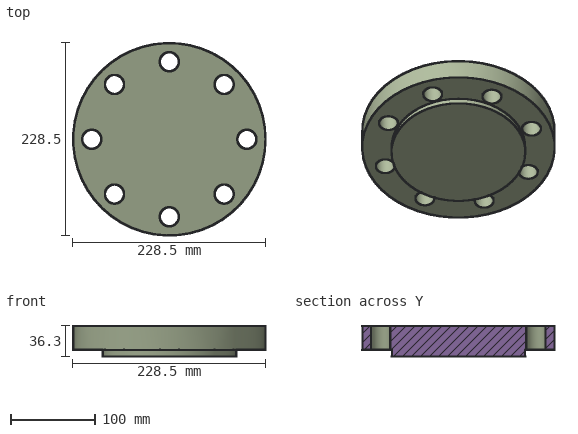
import cadquery as cq

plate_diameter = 228.5
total_height = 36.3
raised_face_height = 8.0
raised_face_diameter = 158.8
plate_thickness = total_height - raised_face_height

bolt_circle_diameter = 184.0
bolt_hole_diameter = 22.5
bolt_hole_count = 8


def make_plate():
    """Round plate standing on the raised face, whose bottom is at Z = 0."""
    return (
        cq.Workplane("XY")
        .workplane(offset=raised_face_height)
        .circle(plate_diameter / 2)
        .extrude(plate_thickness)
    )


def make_raised_face():
    """Shallow disc centred under the plate."""
    return cq.Workplane("XY").circle(raised_face_diameter / 2).extrude(raised_face_height)


def make_bolt_holes():
    """Evenly spaced cylinders through the full height, the first one on +X."""
    return (
        cq.Workplane("XY")
        .polarArray(bolt_circle_diameter / 2, 0, 360, bolt_hole_count)
        .circle(bolt_hole_diameter / 2)
        .extrude(total_height)
    )


result = make_plate().union(make_raised_face()).cut(make_bolt_holes())